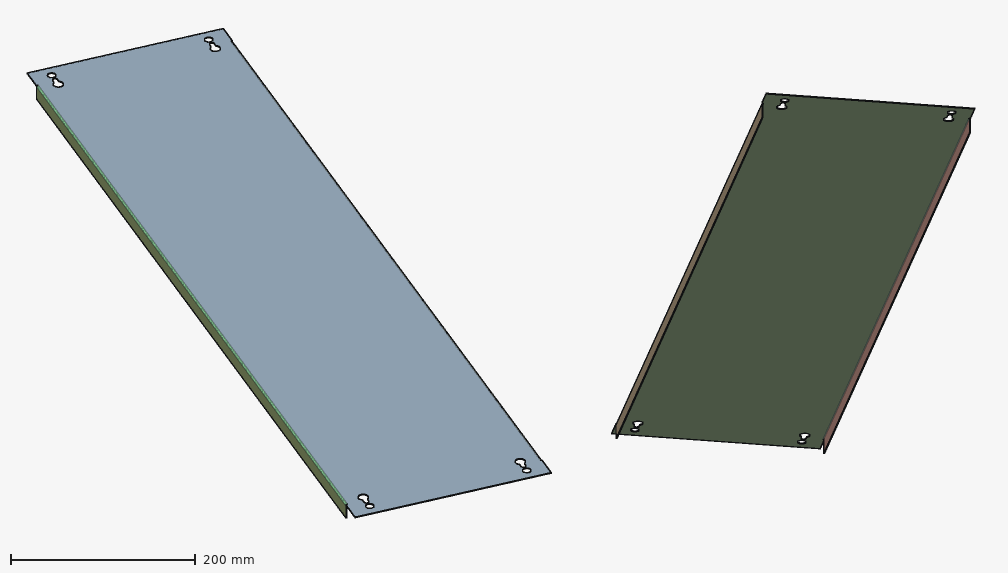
import cadquery as cq

length = 937.5
width = 230.0
height = 18.0
thickness = 1.2
bend_radius = 2.0
flange_setback = 26.0

hole_diameter = 9.0
hole_end_distance = 14.0
keyhole_diameter = 11.0
keyhole_end_distance = 33.0
neck_width = 6.0
neck_reach = 12.0
row_spacing = 184.0

flange_length = length - 2 * flange_setback
neck_length = neck_reach + neck_width / 2
inner_radius = bend_radius - thickness


def box_from_top(size_x, size_y, size_z):
    """Block centred in X and Y, with its upper face at Z = 0."""
    return cq.Workplane("XY").rect(size_x, size_y).extrude(-size_z)


def folded_channel():
    """Channel open at the bottom, with rounded bends along both long edges."""
    outer = box_from_top(flange_length, width, height).edges("|X and >Z").fillet(bend_radius)
    inner = box_from_top(flange_length, width - 2 * thickness, height - thickness)
    inner = inner.edges("|X and >Z").fillet(inner_radius)
    return outer.cut(inner.translate((0, 0, -thickness)))


def end_tab(side):
    """Flat end of the plate, beyond the flanges; side is -1 or +1 along X."""
    tab = box_from_top(flange_setback, width, thickness)
    return tab.translate((side * (length - flange_setback) / 2, 0, 0))


def corner_openings(side, row):
    """Cutter for a round hole and a keyhole whose rounded neck points to the plate end."""
    y = row * row_spacing / 2
    hole_x = side * (length / 2 - hole_end_distance)
    keyhole_x = side * (length / 2 - keyhole_end_distance)
    neck_x = keyhole_x + side * (neck_reach - neck_length / 2)
    plane = cq.Workplane("XY")
    hole = plane.center(hole_x, y).circle(hole_diameter / 2).extrude(-thickness)
    keyhole = plane.center(keyhole_x, y).circle(keyhole_diameter / 2).extrude(-thickness)
    neck = plane.center(neck_x, y).slot2D(neck_length, neck_width).extrude(-thickness)
    return hole.union(keyhole).union(neck)


result = folded_channel()
for side in (-1, 1):
    result = result.union(end_tab(side))
    for row in (-1, 1):
        result = result.cut(corner_openings(side, row))